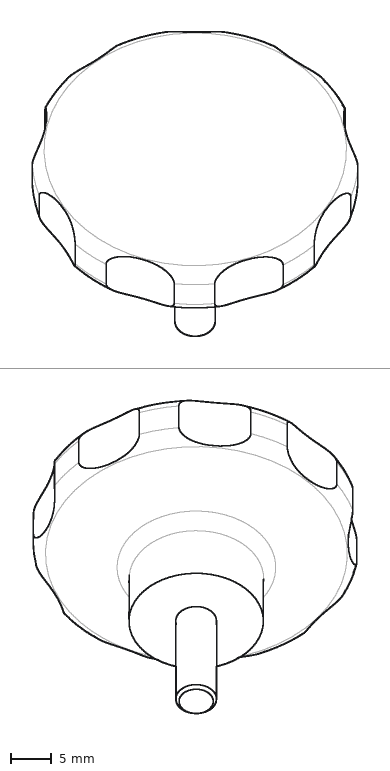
import cadquery as cq
import math

head_radius = 20.0
dome_edge_z = 18.95
dome_top_z = 22.0
rim_fillet = 2.0
underside_angle = 15.0

scallop_count = 9
scallop_radius = 12.75
scallop_half_width = 4.45
first_scallop_angle = -90.0

hub_radius = 16.5 / 2
hub_height = 9.0
neck_fillet = 2.0

stud_radius = 5.0 / 2
stud_length = 14.0
stud_chamfer = 0.4

underside_rise = (head_radius - hub_radius) * math.tan(math.radians(underside_angle))
rim_bottom_z = hub_height + underside_rise
dome_height = dome_top_z - dome_edge_z
dome_radius = (head_radius**2 + dome_height**2) / (2 * dome_height)
dome_mid_r = head_radius / 2
dome_mid_z = dome_top_z - dome_radius + math.sqrt(dome_radius**2 - dome_mid_r**2)
scallop_center_r = (
    math.sqrt(head_radius**2 - scallop_half_width**2)
    + math.sqrt(scallop_radius**2 - scallop_half_width**2)
)


def round_circle(body, height, radius):
    """Fillet the circular edge centred on the axis at the given height."""
    at_height = cq.selectors.NearestToPointSelector((0, 0, height))
    return body.edges("%CIRCLE").edges(at_height).fillet(radius)


def make_body():
    """Revolve the hub and head, then round the rim and the neck."""
    profile = (
        cq.Workplane("XZ")
        .moveTo(0, 0)
        .lineTo(hub_radius, 0)
        .lineTo(hub_radius, hub_height)
        .lineTo(head_radius, rim_bottom_z)
        .lineTo(head_radius, dome_edge_z)
        .threePointArc((dome_mid_r, dome_mid_z), (0, dome_top_z))
        .close()
    )
    body = profile.revolve(360, (0, 0, 0), (0, 1, 0))
    body = round_circle(body, hub_height, neck_fillet)
    body = round_circle(body, rim_bottom_z, rim_fillet)
    return round_circle(body, dome_edge_z, rim_fillet)


def make_scallops():
    """Vertical cylinders that cut the grip scallops into the rim."""
    return (
        cq.Workplane("XY")
        .polarArray(scallop_center_r, first_scallop_angle, 360, scallop_count)
        .circle(scallop_radius)
        .extrude(dome_top_z)
    )


def make_stud():
    """Plain stud with a chamfered tip."""
    return (
        cq.Workplane("XY")
        .circle(stud_radius)
        .extrude(-stud_length)
        .faces("<Z")
        .chamfer(stud_chamfer)
    )


result = make_body().cut(make_scallops()).union(make_stud())